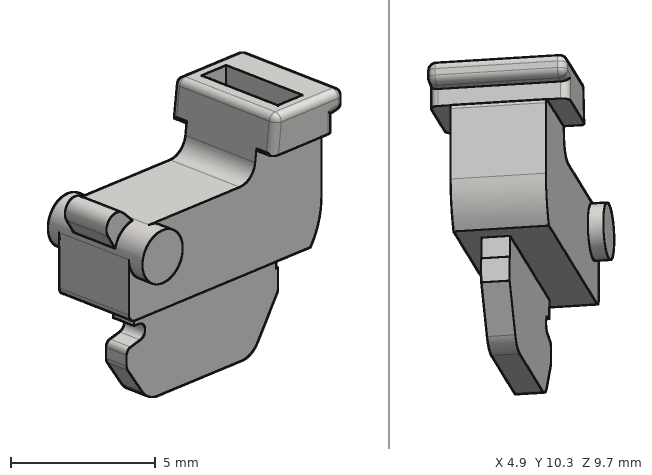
import cadquery as cq
import math


pin_radius = 1.0
pin_length = 4.55
pin_offset = 0.05
lever_width = 2.0
lever_radius = 0.5
lever_tip_y = -0.91
lever_tip_z = 1.04
lever_upper_angle = 47
lever_lower_angle = 212
lever_root_depth = 0.93

arm_width = 3.36
arm_back = 8.56
arm_bottom = -2.39
arm_corner_radius = 0.3
heel_inset = 0.55
heel_height = 1.73
shoulder_radius = 0.19
throat_radius = 0.77

cap_width = 4.9
cap_bottom = 2.09
cap_top = 3.58
cap_height = cap_top - cap_bottom
cap_front = 5.31
cap_front_angle = 7.1
cap_back = 8.89
cap_neck_back = arm_back - shoulder_radius
cap_lip_z = 2.71
cap_lip_angle = 10
cap_round = 0.3
bevel_height = 0.1
bevel_depth = 0.05
slot_length = 3.67
slot_width = 1.23
slot_center_y = 6.84
slot_depth = 1.24

blade_thickness = 1.0
blade_offset = 0.35
blade_bottom = cap_top - 9.7
blade_top_back = 7.17
blade_top_front = 0.1
blade_back = 7.26
blade_front = -0.26
step_z = -3.17
back_slope_top = -4.05
back_slope_foot = 5.96
front_slope_top = -4.6
front_slope_foot = 0.79
foot_radius = 0.93
hook_radius = 0.32
hook_y = 0.34
hook_z = -3.42
hook_angle = 14
hook_tip_radius = 0.26
front_corner_radius = 0.3


def lean(height):
    """Y shift of the sloping front face over a given height."""
    return height * math.tan(math.radians(cap_front_angle))


def on_circle(y, z, radius, angle):
    """Point on a circle in the YZ plane, with the angle in degrees from +Y."""
    turn = math.radians(angle)
    return (y + radius * math.cos(turn), z + radius * math.sin(turn))


def side_plane(width, offset=0):
    """YZ plane at the -X side of a feature of the given width."""
    return cq.Workplane("YZ", origin=(offset - width / 2, 0, 0))


def make_arm():
    arc_radius = (heel_inset**2 + heel_height**2) / (2 * heel_inset)
    heel_top = arm_bottom + heel_height
    half_sweep = math.degrees(math.asin(heel_height / arc_radius)) / 2
    heel_middle = on_circle(arm_back - arc_radius, heel_top, arc_radius, -half_sweep)
    throat_y = cap_front - lean(cap_bottom - pin_radius)
    shoulder_middle = on_circle(cap_neck_back, cap_bottom - shoulder_radius, shoulder_radius, 45)
    arm = (
        side_plane(arm_width)
        .moveTo(-pin_radius, 0)
        .lineTo(-pin_radius, arm_bottom)
        .lineTo(arm_back - heel_inset, arm_bottom)
        .threePointArc(heel_middle, (arm_back, heel_top))
        .lineTo(arm_back, cap_bottom - shoulder_radius)
        .threePointArc(shoulder_middle, (cap_neck_back, cap_bottom))
        .lineTo(cap_front, cap_bottom)
        .lineTo(throat_y, pin_radius)
        .lineTo(0, pin_radius)
        .threePointArc(on_circle(0, 0, pin_radius, 135), (-pin_radius, 0))
        .close()
        .extrude(arm_width)
    )
    arm = arm.edges(cq.NearestToPointSelector((0, throat_y, pin_radius))).fillet(throat_radius)
    return arm.edges(cq.NearestToPointSelector((0, -pin_radius, arm_bottom))).fillet(arm_corner_radius)


def make_cap():
    lip_rise = (cap_back - cap_neck_back) * math.tan(math.radians(cap_lip_angle))
    outline = [
        (cap_front, cap_bottom),
        (cap_neck_back, cap_bottom),
        (cap_neck_back, cap_lip_z),
        (cap_back, cap_lip_z + lip_rise),
        (cap_back, cap_top),
        (cap_front + lean(cap_height), cap_top),
    ]
    cap = side_plane(cap_width).polyline(outline).close().extrude(cap_width)
    lip_corner = cq.NearestToPointSelector((0, cap_neck_back, cap_lip_z))
    rounded_edges = cap.edges().filter(
        lambda edge: edge.BoundingBox().zmax > cap_bottom + cap_round
    )
    inner_corner = cap.edges(lip_corner).val()
    rounded_edges = rounded_edges.filter(lambda edge: not edge.isSame(inner_corner))
    cap = cap.newObject(rounded_edges.vals()).fillet(cap_round)
    for side in (-1, 1):
        cap = cap.cut(make_bevel(side))
    return cap


def make_bevel(side):
    """Wedge cut from the lower front edge of the cap, on one side of the arm."""
    wing_width = (cap_width - arm_width) / 2
    wing_center = side * (cap_width + arm_width) / 4
    outline = [
        (cap_front, cap_bottom),
        (cap_front + bevel_depth, cap_bottom),
        (cap_front + lean(bevel_height), cap_bottom + bevel_height),
    ]
    return side_plane(wing_width, wing_center).polyline(outline).close().extrude(wing_width)


def make_pin():
    return side_plane(pin_length, pin_offset).circle(pin_radius).extrude(pin_length)


def make_lever():
    upper = on_circle(lever_tip_y, lever_tip_z, lever_radius, lever_upper_angle)
    lower = on_circle(lever_tip_y, lever_tip_z, lever_radius, lever_lower_angle)
    tip_angle = (lever_upper_angle + lever_lower_angle) / 2
    tip = on_circle(lever_tip_y, lever_tip_z, lever_radius, tip_angle)
    return (
        side_plane(lever_width)
        .moveTo(*upper)
        .threePointArc(tip, lower)
        .lineTo(*on_circle(*lower, lever_root_depth, lever_lower_angle + 90))
        .lineTo(*on_circle(*upper, lever_root_depth, lever_upper_angle - 90))
        .close()
        .extrude(lever_width)
    )


def make_slot():
    return (
        cq.Workplane("XY", origin=(0, slot_center_y, cap_top))
        .rect(slot_length, slot_width)
        .extrude(-slot_depth)
    )


def make_housing():
    solid_parts = make_arm().union(make_cap()).union(make_pin()).union(make_lever())
    return solid_parts.cut(make_slot())


def make_blade():
    hook_middle = on_circle(hook_y, hook_z, hook_radius, (90 - hook_angle) / 2)
    hook_end = on_circle(hook_y, hook_z, hook_radius, hook_angle - 90)
    hook_tip_z = hook_end[1] - (hook_end[0] - blade_front) * math.tan(math.radians(hook_angle))
    blade = (
        side_plane(blade_thickness, blade_offset)
        .moveTo(blade_top_front, arm_bottom)
        .lineTo(blade_top_back, arm_bottom)
        .lineTo(blade_top_back, step_z)
        .lineTo(blade_back, step_z)
        .lineTo(blade_back, back_slope_top)
        .lineTo(back_slope_foot, blade_bottom)
        .lineTo(front_slope_foot, blade_bottom)
        .lineTo(blade_front, front_slope_top)
        .lineTo(blade_front, hook_tip_z)
        .lineTo(*hook_end)
        .threePointArc(hook_middle, (hook_y, hook_z + hook_radius))
        .lineTo(blade_top_front, hook_z + hook_radius)
        .close()
        .extrude(blade_thickness)
    )
    blade = blade.edges("|X and <Z").fillet(foot_radius)
    hook_tip = cq.NearestToPointSelector((blade_offset, blade_front, hook_tip_z))
    blade = blade.edges(hook_tip).fillet(hook_tip_radius)
    slope_corner = cq.NearestToPointSelector((blade_offset, blade_front, front_slope_top))
    return blade.edges(slope_corner).fillet(front_corner_radius)


housing = make_housing()
blade = make_blade()
result = cq.Compound.makeCompound([housing.val(), blade.val()])